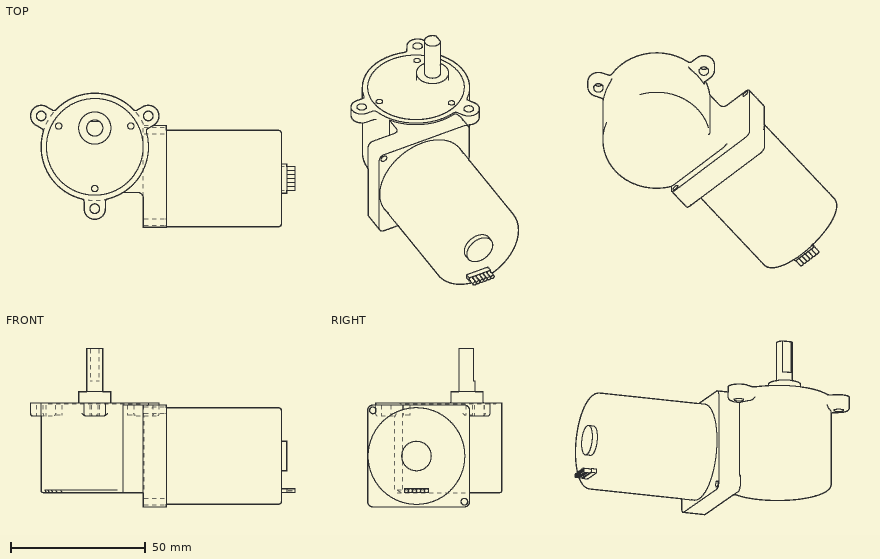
import cadquery as cq
import math

GEARBOX_RADIUS = 20.0
GEARBOX_HEIGHT = 33.5
GEARBOX_BOTTOM_FILLET = 1.0

EAR_COUNT = 3
EAR_FIRST_ANGLE = 30.0
EAR_PITCH_RADIUS = 23.0
EAR_RADIUS = 4.0
EAR_THICKNESS = 5.0
EAR_HOLE_DIAMETER = 3.5
EAR_ROOT_FILLET = 1.0
EAR_BOTTOM_FILLET = 1.0

RECESS_DIAMETER = 36.0
RECESS_DEPTH = 0.5
RECESS_WALL_RADIUS = 1.0
COVER_HOLE_DIAMETER = 2.4
COVER_HOLE_PITCH_RADIUS = 15.5
COVER_HOLE_DEPTH = 4.0

SHAFT_OFFSET_Y = 7.0
SHAFT_DIAMETER = 6.0
SHAFT_TOP = 20.2
FLAT_LENGTH = 12.0
FLAT_DEPTH = 0.5
BOSS_DIAMETER = 12.0
BOSS_TOP = 4.2
BOSS_ROOT_FILLET = 1.0

FLANGE_SIZE = 38.0
FLANGE_X = 18.0
FLANGE_THICKNESS = 8.6
FLANGE_TOP = -0.8
FLANGE_MIN_Y = -30.0
FLANGE_CORNER_RADIUS = 2.1
FLANGE_HOLE_DIAMETER = 2.4
FLANGE_HOLE_INSET = 2.0

NECK_MIN_Y = -17.0
NECK_FILLET = 2.0
NECK_EMBED = 4.0

MOTOR_DIAMETER = 36.0
MOTOR_Y = -11.8
MOTOR_END_X = 69.5
MOTOR_END_FILLET = 1.2
REAR_BOSS_DIAMETER = 11.0
REAR_BOSS_LENGTH = 2.0
WIRE_COUNT = 6
WIRE_DIAMETER = 1.5
WIRE_END_X = 74.5
CABLE_DROP = 12.9
WEB_THICKNESS = 0.3

FLANGE_Y = FLANGE_MIN_Y + FLANGE_SIZE / 2
MOTOR_Z = FLANGE_TOP - FLANGE_SIZE / 2
FLANGE_END_X = FLANGE_X + FLANGE_THICKNESS
REAR_BOSS_END_X = MOTOR_END_X + REAR_BOSS_LENGTH
CABLE_Z = MOTOR_Z - CABLE_DROP
CABLE_WIDTH = WIRE_COUNT * WIRE_DIAMETER


def x_cylinder(diameter, start_x, end_x, y, z):
    """Cylinder along X."""
    return (
        cq.Workplane("YZ", origin=(start_x, y, z))
        .circle(diameter / 2)
        .extrude(end_x - start_x)
    )


def x_block(start_x, end_x, width, height, y, z):
    """Block spanning start_x to end_x, centred on y and z."""
    return (
        cq.Workplane("YZ", origin=(start_x, y, z))
        .rect(width, height)
        .extrude(end_x - start_x)
    )


def make_neck():
    """Block from the gearbox axis into the flange, with a fillet in the corner at the flange."""
    height = GEARBOX_HEIGHT + FLANGE_TOP
    fillet_start_x = FLANGE_X - NECK_FILLET
    embed_x = FLANGE_X + NECK_EMBED
    embed_min_y = NECK_MIN_Y - NECK_FILLET - NECK_EMBED
    return (
        cq.Workplane("XY", origin=(0, 0, -GEARBOX_HEIGHT))
        .moveTo(0, 0)
        .lineTo(0, NECK_MIN_Y)
        .lineTo(fillet_start_x, NECK_MIN_Y)
        .radiusArc((FLANGE_X, NECK_MIN_Y - NECK_FILLET), NECK_FILLET)
        .lineTo(FLANGE_X, embed_min_y)
        .lineTo(embed_x, embed_min_y)
        .lineTo(embed_x, 0)
        .close()
        .extrude(height)
    )


def make_gearbox():
    """Cylindrical gearbox merged with the neck, rounded along the lower outline."""
    body = cq.Workplane("XY").circle(GEARBOX_RADIUS).extrude(-GEARBOX_HEIGHT)
    body = body.union(make_neck())
    return body.faces("<Z").edges().fillet(GEARBOX_BOTTOM_FILLET)


def make_ear_plate():
    """Disc with the mounting ears, rounded at the ear roots and along the lower outline."""
    plate = cq.Workplane("XY").circle(GEARBOX_RADIUS).extrude(-EAR_THICKNESS)
    arm = cq.Workplane("XY").center(EAR_PITCH_RADIUS / 2, 0)
    arm = arm.rect(EAR_PITCH_RADIUS, 2 * EAR_RADIUS).extrude(-EAR_THICKNESS)
    for index in range(EAR_COUNT):
        plate = plate.union(arm.rotate((0, 0, 0), (0, 0, 1), index * 360 / EAR_COUNT))

    plate = (
        plate.edges("|Z")
        .filter(lambda edge: math.hypot(edge.Center().x, edge.Center().y) < EAR_PITCH_RADIUS)
        .fillet(EAR_ROOT_FILLET)
    )
    tips = (
        cq.Workplane("XY")
        .polarArray(EAR_PITCH_RADIUS, 0, 360, EAR_COUNT)
        .circle(EAR_RADIUS)
        .extrude(-EAR_THICKNESS)
    )
    plate = plate.union(tips).faces("<Z").edges().fillet(EAR_BOTTOM_FILLET)
    return plate.rotate((0, 0, 0), (0, 0, 1), EAR_FIRST_ANGLE)


def round_pattern(pitch_radius, diameter, depth):
    """Vertical cylinders at the ear angles, from Z = 0 downward."""
    return (
        cq.Workplane("XY")
        .polarArray(pitch_radius, EAR_FIRST_ANGLE, 360, EAR_COUNT)
        .circle(diameter / 2)
        .extrude(-depth)
    )


def make_recess():
    """Shallow dish whose wall is a concave arc running tangent into the floor."""
    rim_radius = RECESS_DIAMETER / 2
    arc_center_height = RECESS_WALL_RADIUS - RECESS_DEPTH
    wall_run = math.sqrt(RECESS_WALL_RADIUS**2 - arc_center_height**2)
    return (
        cq.Workplane("XZ")
        .moveTo(0, 0)
        .lineTo(rim_radius, 0)
        .radiusArc((rim_radius - wall_run, -RECESS_DEPTH), RECESS_WALL_RADIUS)
        .lineTo(0, -RECESS_DEPTH)
        .close()
        .revolve(360, (0, 0, 0), (0, 1, 0))
    )


def make_output():
    """Bearing boss with a flared foot, carrying the D-shaped shaft."""
    radius = BOSS_DIAMETER / 2
    foot = -RECESS_DEPTH
    boss = (
        cq.Workplane("XZ", origin=(0, SHAFT_OFFSET_Y, 0))
        .moveTo(0, foot)
        .lineTo(radius + BOSS_ROOT_FILLET, foot)
        .radiusArc((radius, foot + BOSS_ROOT_FILLET), BOSS_ROOT_FILLET)
        .lineTo(radius, BOSS_TOP)
        .lineTo(0, BOSS_TOP)
        .close()
        .revolve(360, (0, 0, 0), (0, 1, 0))
    )
    shaft = (
        cq.Workplane("XY", origin=(0, SHAFT_OFFSET_Y, 0))
        .circle(SHAFT_DIAMETER / 2)
        .extrude(SHAFT_TOP)
    )
    flat_middle_y = SHAFT_OFFSET_Y + (SHAFT_DIAMETER - FLAT_DEPTH) / 2
    flat = (
        cq.Workplane("XY", origin=(0, flat_middle_y, SHAFT_TOP - FLAT_LENGTH))
        .rect(SHAFT_DIAMETER, FLAT_DEPTH)
        .extrude(FLAT_LENGTH)
    )
    return boss.union(shaft.cut(flat))


def make_flange():
    """Square flange with rounded corners and two diagonal holes."""
    flange = x_block(FLANGE_X, FLANGE_END_X, FLANGE_SIZE, FLANGE_SIZE, FLANGE_Y, MOTOR_Z)
    flange = flange.edges("|X").fillet(FLANGE_CORNER_RADIUS)
    hole_offset = FLANGE_SIZE / 2 - FLANGE_HOLE_INSET
    for side in (-1, 1):
        y = FLANGE_Y + side * hole_offset
        z = MOTOR_Z - side * hole_offset
        flange = flange.cut(x_cylinder(FLANGE_HOLE_DIAMETER, FLANGE_X, FLANGE_END_X, y, z))
    return flange


def make_motor():
    """Motor can with a rounded rear edge and a rear bearing boss."""
    can = x_cylinder(MOTOR_DIAMETER, FLANGE_END_X, MOTOR_END_X, MOTOR_Y, MOTOR_Z)
    can = can.faces(">X").edges().fillet(MOTOR_END_FILLET)
    return can.union(
        x_cylinder(REAR_BOSS_DIAMETER, MOTOR_END_X, REAR_BOSS_END_X, MOTOR_Y, MOTOR_Z)
    )


def make_cable():
    """Cable outlet block and a row of wires joined by a thin web."""
    cable = x_block(MOTOR_END_X, REAR_BOSS_END_X, CABLE_WIDTH, WIRE_DIAMETER, MOTOR_Y, CABLE_Z)
    web_width = CABLE_WIDTH - WIRE_DIAMETER
    cable = cable.union(
        x_block(REAR_BOSS_END_X, WIRE_END_X, web_width, WEB_THICKNESS, MOTOR_Y, CABLE_Z)
    )
    for index in range(WIRE_COUNT):
        y = MOTOR_Y + (index - (WIRE_COUNT - 1) / 2) * WIRE_DIAMETER
        cable = cable.union(x_cylinder(WIRE_DIAMETER, REAR_BOSS_END_X, WIRE_END_X, y, CABLE_Z))
    return cable


housing = make_gearbox().union(make_ear_plate()).cut(make_recess())
housing = housing.cut(round_pattern(EAR_PITCH_RADIUS, EAR_HOLE_DIAMETER, EAR_THICKNESS))
housing = housing.cut(
    round_pattern(COVER_HOLE_PITCH_RADIUS, COVER_HOLE_DIAMETER, RECESS_DEPTH + COVER_HOLE_DEPTH)
)

result = housing.union(make_output()).union(make_flange()).union(make_motor()).union(make_cable())